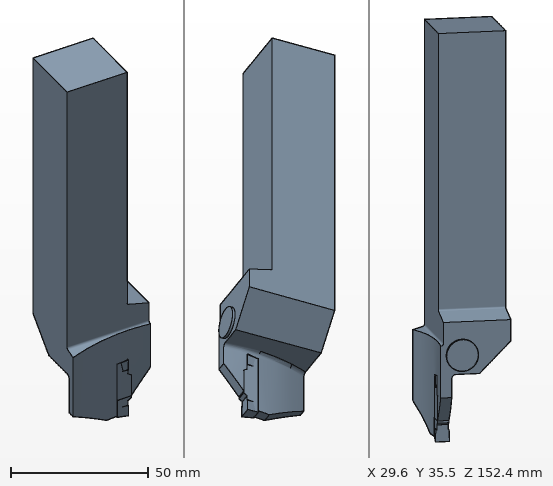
import cadquery as cq
import math


TOTAL_HEIGHT = 152.4
SHANK_DEPTH = 25.3
SHANK_RIGHT = 25.15
LEFT_FACE_LEAN = 0.15
HEAD_DEPTH = 34.5
HEAD_RIGHT = 29.58
HEAD_BOTTOM = 26.9
HEAD_CHAMFER = 11.7
BACK_RAMP_TOP = 49.0
SIDE_RAMP_TOP = 38.0
RAMP_SLOPE = math.tan(math.radians(15))
BACK_RAMP_FILLET = 0.7
SIDE_RAMP_FILLET = 1.0

ARC_CENTER_Y = 26.0
OUTER_RADIUS = 90.0
INNER_RADIUS = 67.5
BLADE_LEFT = 21.45
BLADE_FILLET = 1.5
BLADE_BOTTOM = 1.2
BLADE_TOE_Y = 16.0
BEVEL_RISE = BLADE_TOE_Y * math.tan(math.radians(30))
JAW_BEVEL_TOP = 18.4

INSERT_LENGTH = 24.8
INSERT_SEAT_Y = 20.75
INSERT_TOP_Y = SHANK_DEPTH
END_RELIEF = 0.5
BUMP_HEIGHT = 1.35
BUMP_START = 6.4
BUMP_RAMP = 0.95
HEAD_OVERHANG = 0.5
CUTTING_HEAD_LENGTH = 4.5
SIDE_CLEARANCE = 0.14
BACK_CLEARANCE = 0.036

BOSS_DIAMETER = 11.86
BOSS_HEIGHT = 1.0
BOSS_X = 18.2
BOSS_Z = 34.1

CUT_MARGIN = 10.0


def arc_x(least_x, radius, y):
    """x at y on a circular face whose least x lies at ARC_CENTER_Y."""
    return least_x + radius - math.sqrt(radius**2 - (y - ARC_CENTER_Y) ** 2)


OUTER_LEAST_X = HEAD_RIGHT - arc_x(0, OUTER_RADIUS, 0)
JAW_BEVEL_SLOPE = (JAW_BEVEL_TOP - BUMP_START) / (HEAD_DEPTH - INSERT_TOP_Y)
JAW_TIP_Y = INSERT_TOP_Y + BUMP_HEIGHT
JAW_TIP_Z = JAW_BEVEL_TOP - JAW_BEVEL_SLOPE * (HEAD_DEPTH - JAW_TIP_Y)


def plan_block():
    """Plan outline with the leaning left face and the curved right face, at full height."""
    return (
        cq.Workplane("XY")
        .moveTo(LEFT_FACE_LEAN, 0)
        .lineTo(HEAD_RIGHT, 0)
        .threePointArc(
            (OUTER_LEAST_X, ARC_CENTER_Y),
            (arc_x(OUTER_LEAST_X, OUTER_RADIUS, HEAD_DEPTH), HEAD_DEPTH),
        )
        .lineTo(0, HEAD_DEPTH)
        .close()
        .extrude(TOTAL_HEIGHT)
    )


def side_profile():
    """Outline in Y and Z: shank, back ramp, jaw bevel, insert seat and front bevel."""
    ramp_drop = RAMP_SLOPE * (HEAD_DEPTH - SHANK_DEPTH)
    outline = [
        (0, TOTAL_HEIGHT),
        (SHANK_DEPTH, TOTAL_HEIGHT),
        (SHANK_DEPTH, BACK_RAMP_TOP),
        (HEAD_DEPTH, BACK_RAMP_TOP - ramp_drop),
        (HEAD_DEPTH, JAW_BEVEL_TOP),
        (JAW_TIP_Y, JAW_TIP_Z),
        (INSERT_SEAT_Y, JAW_TIP_Z),
        (INSERT_SEAT_Y, BLADE_BOTTOM),
        (BLADE_TOE_Y, BLADE_BOTTOM),
        (0, BLADE_BOTTOM + BEVEL_RISE),
    ]
    corner = cq.selectors.NearestToPointSelector((HEAD_RIGHT / 2, SHANK_DEPTH, BACK_RAMP_TOP))
    return (
        cq.Workplane("YZ")
        .polyline(outline)
        .close()
        .extrude(HEAD_RIGHT)
        .edges("|X")
        .edges(corner)
        .fillet(BACK_RAMP_FILLET)
    )


def front_profile():
    """Outline in X and Z: shank, side ramp and the large chamfer under the left side."""
    ramp_drop = RAMP_SLOPE * (HEAD_RIGHT - SHANK_RIGHT)
    outline = [
        (0, TOTAL_HEIGHT),
        (SHANK_RIGHT, TOTAL_HEIGHT),
        (SHANK_RIGHT, SIDE_RAMP_TOP),
        (HEAD_RIGHT, SIDE_RAMP_TOP - ramp_drop),
        (HEAD_RIGHT, 0),
        (HEAD_CHAMFER, 0),
        (HEAD_CHAMFER, HEAD_BOTTOM),
        (0, HEAD_BOTTOM + HEAD_CHAMFER),
    ]
    corner = cq.selectors.NearestToPointSelector((SHANK_RIGHT, HEAD_DEPTH / 2, SIDE_RAMP_TOP))
    return (
        cq.Workplane("XZ")
        .polyline(outline)
        .close()
        .extrude(-HEAD_DEPTH)
        .edges("|Y")
        .edges(corner)
        .fillet(SIDE_RAMP_FILLET)
    )


def blade_relief():
    """Space under the head, left of the blade, rounded where it meets the blade."""
    front = -CUT_MARGIN
    back = HEAD_DEPTH + CUT_MARGIN
    return (
        cq.Workplane("XY")
        .moveTo(-CUT_MARGIN, front)
        .lineTo(arc_x(BLADE_LEFT, INNER_RADIUS, front), front)
        .threePointArc(
            (BLADE_LEFT, ARC_CENTER_Y),
            (arc_x(BLADE_LEFT, INNER_RADIUS, back), back),
        )
        .lineTo(-CUT_MARGIN, back)
        .close()
        .extrude(HEAD_BOTTOM)
        .faces(">Z")
        .edges(">X")
        .fillet(BLADE_FILLET)
    )


def cutting_head(left, right):
    """Lower cutting head: widest at the rake face and tip, narrowing down and back."""
    depth = INSERT_TOP_Y - INSERT_SEAT_Y

    def section(drop):
        tip = HEAD_OVERHANG - SIDE_CLEARANCE * drop
        heel = tip - BACK_CLEARANCE * CUTTING_HEAD_LENGTH
        tip_z = END_RELIEF * drop / depth
        return [
            (left - tip, tip_z),
            (right + tip, tip_z),
            (right + heel, CUTTING_HEAD_LENGTH),
            (left - heel, CUTTING_HEAD_LENGTH),
        ]

    return (
        cq.Workplane("XZ", origin=(0, INSERT_SEAT_Y, 0))
        .polyline(section(depth))
        .close()
        .workplane(offset=-depth)
        .polyline(section(0))
        .close()
        .loft(ruled=True)
    )


def make_insert():
    """Double-ended insert: a waist with a raised middle and a wider head at each end."""
    left = BLADE_LEFT
    right = OUTER_LEAST_X
    middle = INSERT_LENGTH / 2
    lower_half = [
        (INSERT_SEAT_Y, END_RELIEF),
        (INSERT_TOP_Y, 0),
        (INSERT_TOP_Y, BUMP_START),
        (INSERT_TOP_Y + BUMP_HEIGHT, BUMP_START + BUMP_RAMP),
    ]
    upper_half = [(y, INSERT_LENGTH - z) for y, z in reversed(lower_half)]
    insert = (
        cq.Workplane("YZ", origin=(left, 0, 0))
        .polyline(lower_half + upper_half)
        .close()
        .extrude(right - left)
    )
    lower_head = cutting_head(left, right)
    upper_head = lower_head.mirror("XY", (0, 0, middle))
    return insert.union(lower_head).union(upper_head)


def screw_boss():
    """Round screw head standing on the back face."""
    return (
        cq.Workplane("XZ", origin=(BOSS_X, HEAD_DEPTH, BOSS_Z))
        .circle(BOSS_DIAMETER / 2)
        .extrude(-BOSS_HEIGHT)
    )


def make_holder(insert):
    """Shank, head and curved blade in one piece, pocketed for the insert."""
    holder = plan_block().intersect(side_profile()).intersect(front_profile())
    return holder.cut(blade_relief()).cut(insert).union(screw_boss())


insert = make_insert()
holder = make_holder(insert)

result = cq.Compound.makeCompound([holder.solids().val(), insert.solids().val()])